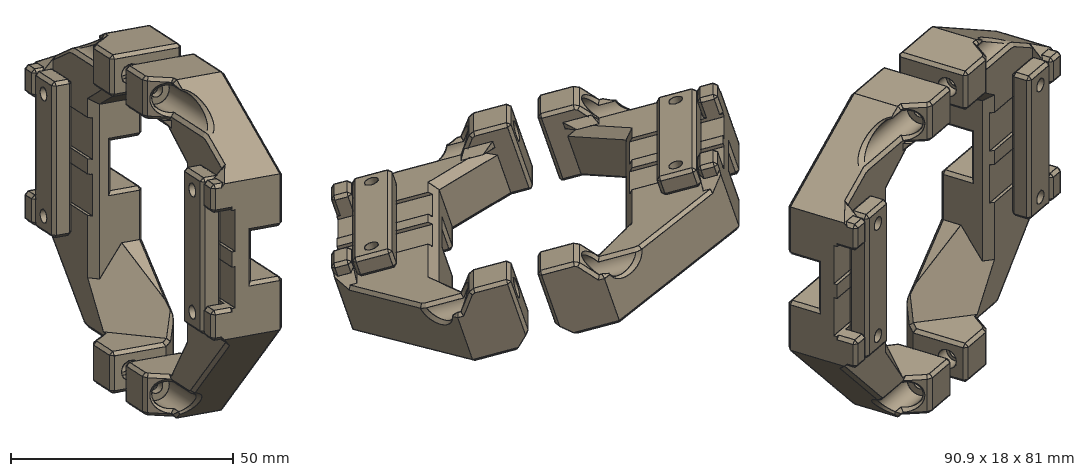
import cadquery as cq
WIDTH = 90.9
DEPTH = 18.0
HEIGHT = 81.0
HALF_GAP = 3.2
EDGE = 0.8
EPS = 0.01

OUTER_X = -WIDTH / 2
END_X = -HALF_GAP
BACK_Y = DEPTH / 2
TIP_Y = -DEPTH / 2
FACE_Y = -4.0
TOP_Z = HEIGHT / 2
BOTTOM_Z = -HEIGHT / 2

SIDE_MID_Z = 6.41
SIDE_LENGTH = 37.35
SIDE_TOP_Z = SIDE_MID_Z + SIDE_LENGTH / 2
SIDE_BOTTOM_Z = SIDE_MID_Z - SIDE_LENGTH / 2
SHOULDER_X = -17.3
INNER_X = -22.0
INNER_TOP_Z = 21.8
INNER_TOP_END_X = -8.3
INNER_EDGE = 2.0
LOWER_SLOPE = 0.86
END_LOWER_Z = SIDE_BOTTOM_Z - LOWER_SLOPE * (END_X - INNER_X)

LUG_HEIGHT = 10.0
LUG_ROOT_X = -16.3
LUG_TIP_X = -12.5
LUG_TOP_UNDERSIDE_Z = TOP_Z - LUG_HEIGHT
LUG_BOTTOM_UPPER_Z = BOTTOM_Z + LUG_HEIGHT
GUSSET = 1.7
SCREW_Z = 35.4
SCREW_DIAMETER = 3.2
HEAD_DIAMETER = 6.5
HEAD_SEAT_X = -9.1
INSERT_DIAMETER = 4.7
INSERT_DEPTH = 3.6

RELIEF_START_Z = -20.0
RELIEF_SLOPE = 1.38
CORNER_CUT_SUM = 1.7

NOTCH_HEIGHT = 12.1
NOTCH_FLOOR_Y = 1.1
POCKET_MID_Z = 6.6
POCKET_HEIGHT = 9.9
POCKET_SPACING = 13.5
POCKET_DEPTH = 0.8
GUARD_WIDTH = 4.7
GUARD_STEP_Y = -5.9

BAR_WIDTH = 9.3
BAR_X = -35.8
BAR_HOLE_SPACING = 29.3
BAR_HOLE_DIAMETER = 3.2

HALF_OUTLINE = [
    (END_X, TOP_Z),
    (SHOULDER_X, TOP_Z),
    (OUTER_X, SIDE_TOP_Z),
    (OUTER_X, SIDE_BOTTOM_Z),
    (SHOULDER_X, BOTTOM_Z),
    (END_X, BOTTOM_Z),
    (END_X, END_LOWER_Z),
    (INNER_X, SIDE_BOTTOM_Z),
    (INNER_X, INNER_TOP_Z),
    (INNER_TOP_END_X, LUG_TOP_UNDERSIDE_Z),
    (END_X, LUG_TOP_UNDERSIDE_Z),
]


def prism_y(points, y_front, y_back):
    """Upright (X, Z) outline carried from y_front to y_back."""
    return cq.Workplane("XZ", origin=(0, y_back, 0)).polyline(points).close().extrude(y_back - y_front)


def prism_z(points, z_low, z_high):
    """Flat (X, Y) outline carried from z_low to z_high."""
    return cq.Workplane("XY", origin=(0, 0, z_low)).polyline(points).close().extrude(z_high - z_low)


def prism_x(points, x_low, x_high):
    """Cross section in (Y, Z) carried from x_low to x_high."""
    return cq.Workplane("YZ", origin=(x_low, 0, 0)).polyline(points).close().extrude(x_high - x_low)


def cylinder_x(diameter, x_low, x_high, z):
    """Cylinder along X whose axis lies in the main front face."""
    return cq.Workplane("YZ", origin=(x_low, FACE_Y, z)).circle(diameter / 2).extrude(x_high - x_low)


def box(x_range, y_range, z_range):
    """Box between the given limits."""
    corner = cq.Vector(x_range[0], y_range[0], z_range[0])
    sizes = [high - low for low, high in (x_range, y_range, z_range)]
    return cq.Workplane(cq.Solid.makeBox(*sizes, pnt=corner))


def near(value, target):
    return abs(value - target) < EPS


def chamfer_where(body, size, *tests):
    """Chamfer the edges whose bounding box satisfies any of the tests."""
    edges = [edge for edge in body.edges().vals() if any(test(edge.BoundingBox()) for test in tests)]
    return body.newObject(edges).chamfer(size)


def make_frame():
    """Half ring with the notch in its back, without lugs."""
    frame = prism_y(HALF_OUTLINE, FACE_Y, BACK_Y)
    notch_z = (SIDE_MID_Z - NOTCH_HEIGHT / 2, SIDE_MID_Z + NOTCH_HEIGHT / 2)
    frame = frame.cut(box((OUTER_X, INNER_X), (NOTCH_FLOOR_Y, BACK_Y), notch_z))

    def back_or_notch(b):
        on_back = near(b.ymin, BACK_Y)
        on_side = near(b.xmin, b.xmax) and (near(b.xmin, OUTER_X) or near(b.xmin, INNER_X))
        in_notch = b.zmin > notch_z[0] - EPS and b.zmax < notch_z[1] + EPS and b.ymin > NOTCH_FLOOR_Y - EPS
        return on_back or (on_side and in_notch)

    def front_inner(b):
        return near(b.ymax, FACE_Y) and near(b.xmin, INNER_X) and b.zmax > 0

    frame = chamfer_where(frame, EDGE, back_or_notch)
    return chamfer_where(frame, INNER_EDGE, front_inner)


def make_lug(z_low):
    """Block with a slanted root that stands on the front face."""
    outline = [
        (LUG_ROOT_X, FACE_Y),
        (LUG_TIP_X, TIP_Y),
        (END_X, TIP_Y),
        (END_X, FACE_Y),
    ]
    return prism_z(outline, z_low, z_low + LUG_HEIGHT)


def make_lug_gusset():
    """45 degree strip in the corner between the upper lug and the front face."""
    section = [
        (FACE_Y, LUG_TOP_UNDERSIDE_Z),
        (FACE_Y - GUSSET, LUG_TOP_UNDERSIDE_Z),
        (FACE_Y, LUG_TOP_UNDERSIDE_Z - GUSSET),
    ]
    strip = prism_x(section, LUG_ROOT_X, INNER_TOP_END_X)
    plan = [
        (LUG_ROOT_X, FACE_Y),
        (LUG_TIP_X, TIP_Y),
        (INNER_TOP_END_X, TIP_Y),
        (INNER_TOP_END_X, FACE_Y),
    ]
    return strip.intersect(prism_z(plan, 0, TOP_Z)).intersect(prism_y(HALF_OUTLINE, TIP_Y, BACK_Y))


def relief_z(x, y):
    """Height of the oblique relief plane above the point (x, y)."""
    along_x = x - (INNER_X - INNER_EDGE)
    along_y = y - FACE_Y
    return RELIEF_START_Z - RELIEF_SLOPE * (along_x - along_y)


def make_relief():
    """Space above the oblique plane that opens the lower inner corner towards the front."""
    plan = [
        (INNER_X - INNER_EDGE, FACE_Y),
        (INNER_X, FACE_Y + INNER_EDGE),
        (INNER_X, BACK_Y),
        (END_X, BACK_Y),
        (END_X, FACE_Y),
    ]
    space = prism_z(plan, LUG_BOTTOM_UPPER_Z, SIDE_MID_Z)
    left, right = INNER_X - INNER_EDGE - DEPTH, END_X + DEPTH
    section = [
        (left, relief_z(left, FACE_Y)),
        (right, relief_z(right, FACE_Y)),
        (left, relief_z(right, FACE_Y)),
    ]
    along_level_line = cq.Vector(2 * DEPTH, 2 * DEPTH, 0)
    corners = [cq.Vector(x, FACE_Y, z) - along_level_line / 2 for x, z in section]
    face = cq.Face.makeFromWires(cq.Wire.makePolygon(corners, close=True))
    below_plane = cq.Solid.extrudeLinear(face, along_level_line)
    return space.cut(cq.Workplane(below_plane))


def make_corner_cut():
    """Space behind the upright 45 degree cut at the lower lug."""
    plan = [
        (END_X, CORNER_CUT_SUM - END_X),
        (END_X, BACK_Y),
        (CORNER_CUT_SUM - BACK_Y, BACK_Y),
    ]
    return prism_z(plan, BOTTOM_Z, SIDE_BOTTOM_Z)


def on_lug_or_end(b):
    """Edges round the end faces, the lug fronts and the slanted lug roots."""
    on_end = near(b.xmin, END_X) and b.ymin < 0
    on_tip = near(b.ymax, TIP_Y)
    on_slant = near(b.xmin, LUG_ROOT_X) and near(b.xmax, LUG_TIP_X) and near(b.ymin, TIP_Y)
    return on_end or on_tip or on_slant


def on_front_rim(b):
    """Front edges of the outer slopes and of the screw head recesses."""
    on_face = near(b.ymin, FACE_Y) and near(b.ymax, FACE_Y)
    is_upright = near(b.xmin, b.xmax)
    return on_face and not is_upright and max(b.zmax, -b.zmin) > LUG_TOP_UNDERSIDE_Z + EPS


def on_head_recess(b):
    """Curved edges where the screw head recesses leave the outer slopes and the lug roots."""
    is_curved = b.xmax - b.xmin > EPS and b.ymax - b.ymin > EPS and b.zmax - b.zmin > EPS
    near_screw = abs(abs(b.zmin + b.zmax) / 2 - SCREW_Z) < HEAD_DIAMETER / 2
    return is_curved and near_screw and b.xmax < LUG_TIP_X and b.ymax < 0


def on_corner_cut(b):
    """Upper edges of the corner cut behind the lower lug."""
    on_cut = near(b.xmin + b.ymax, CORNER_CUT_SUM) and near(b.xmax + b.ymin, CORNER_CUT_SUM)
    return on_cut and not near(b.xmin, b.xmax) and LUG_BOTTOM_UPPER_Z - EPS < b.zmin and b.ymax < BACK_Y


def make_lugged_frame():
    """Frame with its lugs, screw head recesses and edge chamfers."""
    body = make_frame().cut(make_relief()).cut(make_corner_cut())
    body = body.union(make_lug(LUG_TOP_UNDERSIDE_Z)).union(make_lug(BOTTOM_Z)).clean()
    for z in (-SCREW_Z, SCREW_Z):
        body = body.cut(cylinder_x(HEAD_DIAMETER, OUTER_X, HEAD_SEAT_X, z))
    body = chamfer_where(body, EDGE, on_lug_or_end, on_front_rim, on_head_recess, on_corner_cut)
    return body.union(make_lug_gusset())


def make_guard(z_outer, z_inner):
    """Guard block beside the bar, with a 45 degree gusset that runs from its outer end to the front face."""
    outward = 1 if z_outer > z_inner else -1
    root_y = FACE_Y + EDGE
    tip_y = GUARD_STEP_Y - EDGE
    x_range = (OUTER_X, OUTER_X + GUARD_WIDTH)
    guard = box(x_range, (TIP_Y, root_y), sorted((z_outer, z_inner)))
    guard = guard.edges("|Y or <Y").chamfer(EDGE)
    section = [
        (root_y, z_outer + outward * (root_y - GUARD_STEP_Y)),
        (tip_y, z_outer + outward * (tip_y - GUARD_STEP_Y)),
        (root_y, z_outer + outward * (tip_y - GUARD_STEP_Y)),
    ]
    guard = guard.union(prism_x(section, *x_range))
    return guard.intersect(prism_y(HALF_OUTLINE, TIP_Y, BACK_Y))


def bar_holes():
    """Screw holes that run through the bar and the frame behind it."""
    centres = [(BAR_X, SIDE_MID_Z + side * BAR_HOLE_SPACING / 2) for side in (-1, 1)]
    plane = cq.Workplane("XZ", origin=(0, BACK_Y, 0))
    return plane.pushPoints(centres).circle(BAR_HOLE_DIAMETER / 2).extrude(DEPTH)


def make_bar():
    """Chamfered bar that lies on the front face."""
    bar_x = (BAR_X - BAR_WIDTH / 2, BAR_X + BAR_WIDTH / 2)
    bar = box(bar_x, (TIP_Y, FACE_Y), (SIDE_BOTTOM_Z, SIDE_TOP_Z))
    bar = bar.edges().chamfer(EDGE)
    return bar.cut(bar_holes())


def make_housing():
    """Complete half of the ring, with guards, pockets and holes."""
    housing = make_lugged_frame()
    pocket_reach = (POCKET_SPACING + POCKET_HEIGHT) / 2
    housing = housing.union(make_guard(SIDE_TOP_Z, POCKET_MID_Z + pocket_reach))
    housing = housing.union(make_guard(SIDE_BOTTOM_Z, POCKET_MID_Z - pocket_reach))
    for side in (-1, 1):
        middle = POCKET_MID_Z + side * POCKET_SPACING / 2
        z_range = (middle - POCKET_HEIGHT / 2, middle + POCKET_HEIGHT / 2)
        housing = housing.cut(box((OUTER_X, INNER_X), (FACE_Y, FACE_Y + POCKET_DEPTH), z_range))
    for z in (-SCREW_Z, SCREW_Z):
        housing = housing.cut(cylinder_x(SCREW_DIAMETER, HEAD_SEAT_X, END_X, z))
        housing = housing.cut(cylinder_x(INSERT_DIAMETER, END_X - INSERT_DEPTH, END_X, z))
    return housing.cut(bar_holes())


left_housing = make_housing()
left_bar = make_bar()
left_half = [left_housing.val(), left_bar.val()]
right_half = [body.mirror("YZ") for body in left_half]
result = cq.Compound.makeCompound([*left_half, *right_half])